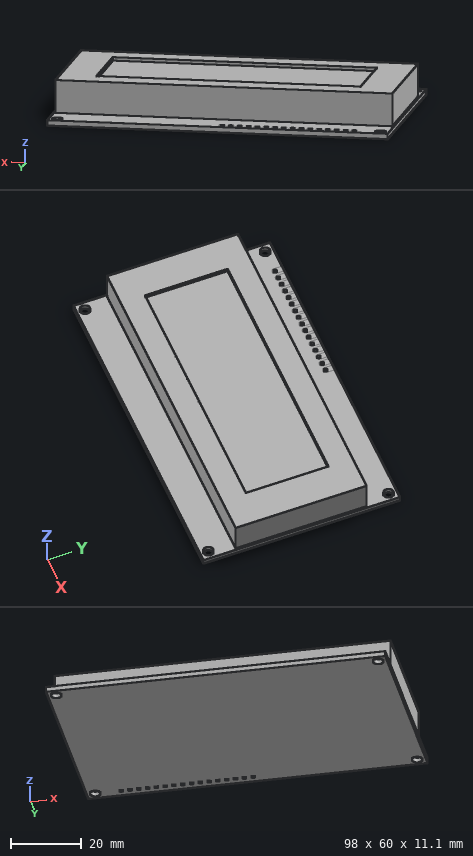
import cadquery as cq

BOARD_LENGTH = 98.0
BOARD_WIDTH = 60.0
BOARD_THICKNESS = 1.6

MOUNT_HOLE_DIAMETER = 3.0
MOUNT_HOLE_INSET = 2.5

TOTAL_HEIGHT = 11.1
BEZEL_LENGTH = 97.0
BEZEL_WIDTH = 40.0
BEZEL_HEIGHT = TOTAL_HEIGHT - BOARD_THICKNESS

WINDOW_LENGTH = 76.0
WINDOW_WIDTH = 25.2
WINDOW_DEPTH = 1.0

PAD_COUNT = 16
PAD_PITCH = 2.54
PAD_WIDTH = 1.8
PAD_THICKNESS = 0.035
PAD_HOLE_DIAMETER = 1.0
PAD_HOLE_INSET = 2.5
FIRST_PAD_INSET = 10.0

BOARD_BACK_EDGE = BOARD_WIDTH / 2
PAD_HOLE_Y = BOARD_BACK_EDGE - PAD_HOLE_INSET
PAD_CENTRES = [
    (-BOARD_LENGTH / 2 + FIRST_PAD_INSET + index * PAD_PITCH, PAD_HOLE_Y)
    for index in range(PAD_COUNT)
]


def make_board():
    """Flat board with a mounting hole in each corner."""
    hole_spacing_x = BOARD_LENGTH - 2 * MOUNT_HOLE_INSET
    hole_spacing_y = BOARD_WIDTH - 2 * MOUNT_HOLE_INSET
    return (
        cq.Workplane("XY")
        .box(BOARD_LENGTH, BOARD_WIDTH, BOARD_THICKNESS, centered=(True, True, False))
        .faces(">Z")
        .workplane(origin=(0, 0, 0))
        .rect(hole_spacing_x, hole_spacing_y, forConstruction=True)
        .vertices()
        .hole(MOUNT_HOLE_DIAMETER)
    )


def make_bezel():
    """Rectangular display block with a shallow viewing window in its top."""
    block = (
        cq.Workplane("XY", origin=(0, 0, BOARD_THICKNESS))
        .rect(BEZEL_LENGTH, BEZEL_WIDTH)
        .extrude(BEZEL_HEIGHT)
    )
    window = (
        cq.Workplane("XY", origin=(0, 0, TOTAL_HEIGHT))
        .rect(WINDOW_LENGTH, WINDOW_WIDTH)
        .extrude(-WINDOW_DEPTH)
    )
    return block.cut(window)


def make_pad(centre):
    """Thin inlaid pad reaching the board edge, with a half-round inner end about its hole."""
    x, y = centre
    radius = PAD_WIDTH / 2
    return (
        cq.Workplane("XY", origin=(x, y, BOARD_THICKNESS))
        .moveTo(-radius, PAD_HOLE_INSET)
        .lineTo(-radius, 0)
        .threePointArc((0, -radius), (radius, 0))
        .lineTo(radius, PAD_HOLE_INSET)
        .close()
        .extrude(-PAD_THICKNESS)
        .cut(make_pad_holes())
    )


def make_pad_holes():
    """Cutters for the pad holes, passing right through the board."""
    return (
        cq.Workplane("XY")
        .pushPoints(PAD_CENTRES)
        .circle(PAD_HOLE_DIAMETER / 2)
        .extrude(BOARD_THICKNESS)
    )


result = make_board().cut(make_pad_holes()).union(make_bezel())
for pad_centre in PAD_CENTRES:
    result = result.union(make_pad(pad_centre), clean=False)
result = result.solids()